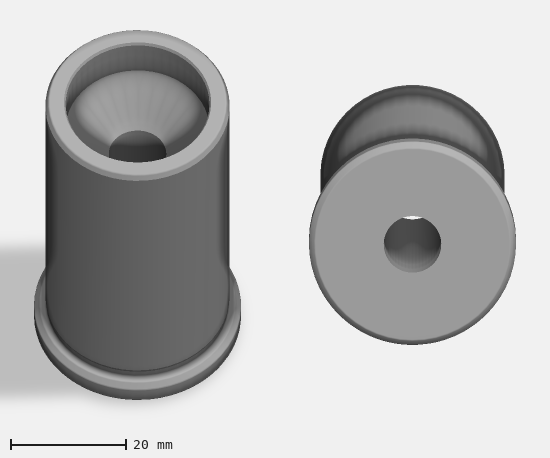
import cadquery as cq
import math

total_height = 65.0
body_radius = 32.02 / 2
flange_radius = 36.0 / 2
flange_height = 5.0

edge_rounding = 0.4
flange_chamfer = 1.0
lead_in_height = 1.0
lead_in_angle = math.radians(30)

groove_radius = 31.7 / 2
groove_fillet = 0.4
groove_straight_height = 1.5
groove_runout_angle = math.radians(15)

mouth_radius = 25.0 / 2
mouth_chamfer_height = 0.5
mouth_chamfer_angle = math.radians(30)
mouth_depth = 8.0
hole_radius = 10.0 / 2
funnel_angle = math.radians(45)


def revolve_profile(profile):
    """Turn a closed radius-height outline about the Z axis."""
    return profile.close().revolve(360, (0, 0, 0), (0, 1, 0))


def make_flange():
    """Foot disc, chamfered at top and bottom, with every chamfer corner rounded."""
    disc = cq.Workplane("XY").circle(flange_radius).extrude(flange_height)
    chamfered = disc.faces("<Z or >Z").edges().chamfer(flange_chamfer)
    return chamfered.edges("%CIRCLE").fillet(edge_rounding)


def make_body():
    """Cylinder with a relief groove at its foot and a lead-in at its top."""
    groove_top = flange_height + groove_straight_height
    runout_height = (body_radius - groove_radius) / math.tan(groove_runout_angle)
    lead_in_width = lead_in_height * math.tan(lead_in_angle)
    fillet_inset = groove_fillet * (1 - math.sqrt(0.5))
    profile = (
        cq.Workplane("XZ")
        .lineTo(groove_radius, 0)
        .lineTo(groove_radius, flange_height)
        .lineTo(groove_radius + groove_fillet, flange_height)
        .threePointArc(
            (groove_radius + fillet_inset, flange_height + fillet_inset),
            (groove_radius, flange_height + groove_fillet),
        )
        .lineTo(groove_radius, groove_top)
        .lineTo(body_radius, groove_top + runout_height)
        .lineTo(body_radius, total_height - lead_in_height)
        .lineTo(body_radius - lead_in_width, total_height)
        .lineTo(0, total_height)
    )
    return revolve_profile(profile).edges(">Z").fillet(edge_rounding)


def make_bore():
    """Mouth with a chamfered rim, funnel and through hole, as one solid."""
    funnel_top = total_height - mouth_depth
    funnel_depth = (mouth_radius - hole_radius) / math.tan(funnel_angle)
    mouth_chamfer_width = mouth_chamfer_height * math.tan(mouth_chamfer_angle)
    profile = (
        cq.Workplane("XZ")
        .lineTo(hole_radius, 0)
        .lineTo(hole_radius, funnel_top - funnel_depth)
        .lineTo(mouth_radius, funnel_top)
        .lineTo(mouth_radius, total_height - mouth_chamfer_height)
        .lineTo(mouth_radius + mouth_chamfer_width, total_height)
        .lineTo(0, total_height)
    )
    return revolve_profile(profile)


result = make_flange().union(make_body()).cut(make_bore())